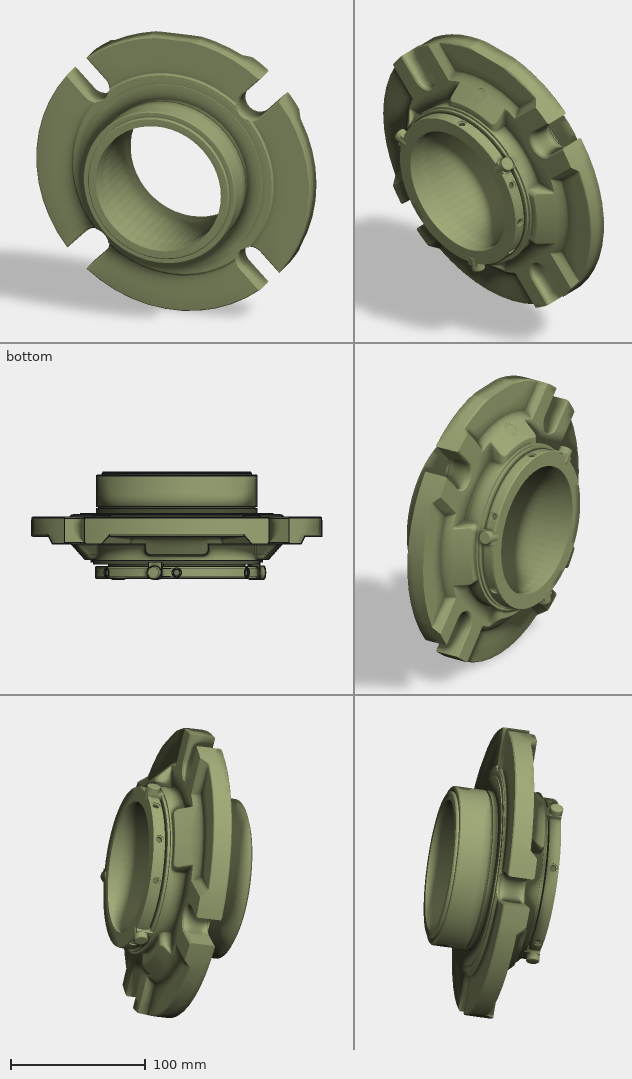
import cadquery as cq
import math


flange_radius = 107.8
flat_height = 106.0
rim_back = 14.5
rim_chamfer = 0.9
pad_back = 20.0
pad_half_width = 25.9
root_fillet = 1.3
diagonals = (45, 135, 225, 315)

slot_width = 21.0
slot_center_radius = 86.0
slot_chamfer = 1.0

outer_ring_radius = 78.0
outer_ring_bevel = 1.5
outer_ring_height = 1.3
middle_ring_radius = 76.5
middle_ring_height = 1.7
inner_ring_radius = 143.0 / 2
inner_ring_height = 2.4

bore_radius = 49.2
sleeve_radius = 59.7
sleeve_front = -31.0
sleeve_chamfer = 0.6
nose_radius = 111.0 / 2
nose_front = -33.2
nose_chamfer = 0.9
groove_front = -7.8
groove_back = -6.0
groove_radius = 58.2
neck_radius = 101.5 / 2

gland_radius = 62.8
ring_radius = 63.6
ring_front = 32.3
gland_back = 33.5
lip_radius = 61.7
lip_back = 35.2
pocket_fillet = 1.3
cone_base_radius = 83.9
block_back = 31.7
cone_top_radius = 68.1
block_half_width = 23.5
cone_edge_fillet = 1.0
block_edge_radius = 3.9
low_block_back = 28.3
port_radius = 5.5
port_height = 22.6
port_depth = 0.5

collar_radius = 60.4
collar_front = 36.9
collar_back = 45.7
collar_edge_length = 1.5
collar_edge_drop = 0.5
screw_height = 41.5
screw_angles = (30, 90, 150, 180, 210, 270, 330)
screw_hole_radius = 3.5
screw_hole_depth = 1.0
socket_radius = 5.0 / 2
socket_depth = 3.2

clip_angles = (15, 135, 255)
clip_width = 10.0
clip_inner_radius = 56.0
clip_outer_radius = 62.5
clip_head_radius = 5.0
clip_head_end = 67.3
clip_head_edge = 0.9


match_tolerance = 0.02


def matches(value, target):
    return abs(value - target) < match_tolerance


def turned(points):
    """Solid of revolution about Y from (radius, y) points."""
    return cq.Workplane("XY").polyline(points).close().revolve(360, (0, 0), (0, 1))


def cylinder(radius, y_start, y_end):
    return turned([(0, y_start), (radius, y_start), (radius, y_end), (0, y_end)])


def placed(solid, angle):
    """Turn a solid built along +X about Y, from +X towards +Z."""
    return solid.rotate((0, 0, 0), (0, 1, 0), -angle)


def radial_pin(radius, height, start, end):
    return cq.Workplane("YZ", origin=(start, height, 0)).circle(radius).extrude(end - start)


def flat_cut():
    size = 2 * flange_radius
    return cq.Workplane("XY").box(size, size, size).translate((0, 0, flat_height + size / 2))


def flange_pad():
    """Thick bar under the bolt head, with sides sloping at 45 degrees down to the rim."""
    foot_half_width = pad_half_width + pad_back - rim_back
    half = [(0, foot_half_width), (rim_back, foot_half_width), (pad_back, pad_half_width)]
    mirrored = [(y, -width) for y, width in reversed(half)]
    return cq.Workplane("YZ").polyline(half + mirrored).close().extrude(flange_radius)


def flange():
    """Rim, pads and the foot of the gland cone, blended where they meet."""
    chamfered_front = [(0, 0), (flange_radius - rim_chamfer, 0), (flange_radius, rim_chamfer)]
    rim = turned(chamfered_front + [(flange_radius, rim_back), (0, rim_back)])
    outline = turned(chamfered_front + [(flange_radius, pad_back), (0, pad_back)])
    pads = placed(flange_pad(), diagonals[0])
    for angle in diagonals[1:]:
        pads = pads.union(placed(flange_pad(), angle))
    skirt = gland_cone().intersect(cylinder(cone_base_radius, rim_back, pad_back))
    raised = rim.union(pads.intersect(outline)).union(skirt)
    roots = []
    for edge in raised.edges().vals():
        center = edge.Center()
        between_levels = rim_back - match_tolerance < center.y < pad_back - match_tolerance
        if between_levels and math.hypot(center.x, center.z) < flange_radius - 2 * root_fillet:
            roots.append(edge)
    return raised.newObject(roots).fillet(root_fillet).cut(flat_cut())


def slot_shape(half_width, y_start, y_end):
    """Round-ended slot, open at the rim."""
    tail = flange_radius + slot_width - slot_center_radius
    bar = cq.Workplane("XY").box(tail, y_end - y_start, 2 * half_width, centered=(False, False, True))
    return bar.translate((slot_center_radius, y_start, 0)).union(
        cylinder(half_width, y_start, y_end).translate((slot_center_radius, 0, 0))
    )


def bolt_slot():
    """Slot through the flange, with chamfered edges on both faces of the pad."""
    half_width = slot_width / 2
    slot = slot_shape(half_width, -outer_ring_height - inner_ring_height, pad_back)
    front_edge = slot_shape(half_width + slot_chamfer, -slot_chamfer, slot_chamfer)
    back_edge = slot_shape(half_width + slot_chamfer, pad_back - slot_chamfer, pad_back + slot_chamfer)
    front_edge = front_edge.faces(">Y").chamfer(slot_chamfer)
    back_edge = back_edge.faces("<Y").chamfer(slot_chamfer)
    return slot.union(front_edge).union(back_edge)


def front_rings():
    return turned([
        (0, 0),
        (outer_ring_radius + outer_ring_bevel, 0),
        (outer_ring_radius, -outer_ring_height),
        (middle_ring_radius, -outer_ring_height),
        (middle_ring_radius, -middle_ring_height),
        (inner_ring_radius, -middle_ring_height),
        (inner_ring_radius, -inner_ring_height),
        (0, -inner_ring_height),
    ])


def sleeve():
    return turned([
        (0, nose_front),
        (nose_radius - nose_chamfer, nose_front),
        (nose_radius, nose_front + nose_chamfer),
        (nose_radius, sleeve_front),
        (sleeve_radius - sleeve_chamfer, sleeve_front),
        (sleeve_radius, sleeve_front + sleeve_chamfer),
        (sleeve_radius, groove_front),
        (groove_radius, groove_front),
        (groove_radius, groove_back),
        (sleeve_radius, groove_back),
        (sleeve_radius, 0),
        (neck_radius, 0),
        (neck_radius, collar_back),
        (0, collar_back),
    ])


def gland_block(angle, back):
    """Arm with rounded back edges; the cone trims its outer end."""
    arm = cq.Workplane("XY").box(
        flange_radius, back, 2 * block_half_width, centered=(False, False, True)
    )
    arm = arm.edges("|X and >Y").fillet(block_edge_radius)
    return placed(arm, angle)


def gland_cone():
    return turned([
        (0, rim_back),
        (cone_base_radius, rim_back),
        (cone_top_radius, block_back),
        (0, block_back),
    ])


def gland():
    blocks = gland_block(0, block_back)
    for angle, back in ((90, block_back), (180, block_back), (270, low_block_back)):
        blocks = blocks.union(gland_block(angle, back))
    blocks = gland_cone().intersect(blocks)
    blocks = blocks.faces("%CONE").edges().fillet(cone_edge_fillet)
    body = turned([
        (0, 0),
        (gland_radius, 0),
        (gland_radius, ring_front),
        (ring_radius, ring_front),
        (ring_radius, gland_back),
        (lip_radius, gland_back),
        (lip_radius, lip_back),
        (0, lip_back),
    ])
    return body.union(blocks)


def round_pockets(body):
    """Fillet the floor and the upright corners of the pockets between the gland blocks."""
    corner_reach = math.sqrt(gland_radius**2 - block_half_width**2)
    corners = []
    for edge in body.edges().vals():
        center = edge.Center()
        sides = sorted((abs(center.x), abs(center.z)))
        beside_block = matches(sides[0], block_half_width)
        upright = beside_block and matches(sides[1], corner_reach) and center.y > pad_back
        on_floor = matches(center.y, pad_back)
        block_foot = on_floor and beside_block and edge.geomType() == "LINE"
        wall_foot = on_floor and edge.geomType() == "CIRCLE" and matches(edge.radius(), gland_radius)
        if upright or block_foot or wall_foot:
            corners.append(edge)
    return body.newObject(corners).fillet(pocket_fillet)


def flush_port():
    """Shallow round recess square to the cone, on the +Z block."""
    slope = (cone_base_radius - cone_top_radius) / (block_back - rim_back)
    surface_radius = cone_base_radius - slope * (port_height - rim_back)
    outward = cq.Vector(0, slope, 1).normalized()
    floor = cq.Vector(0, port_height, surface_radius) - outward * port_depth
    plane = cq.Plane(origin=floor.toTuple(), xDir=(1, 0, 0), normal=outward.toTuple())
    return cq.Workplane(plane).circle(port_radius).extrude(port_radius)


def collar():
    edge_radius = collar_radius - collar_edge_drop
    return turned([
        (0, collar_front),
        (edge_radius, collar_front),
        (collar_radius, collar_front + collar_edge_length),
        (collar_radius, collar_back - collar_edge_length),
        (edge_radius, collar_back),
        (0, collar_back),
    ])


def set_screw():
    """Sunk screw: a wide mouth with a narrower socket below it."""
    mouth_floor = collar_radius - screw_hole_depth
    socket_floor = collar_radius - socket_depth
    mouth = radial_pin(screw_hole_radius, screw_height, mouth_floor, collar_radius + screw_hole_depth)
    return mouth.union(radial_pin(socket_radius, screw_height, socket_floor, mouth_floor))


def clip():
    """Block bridging gland and collar, held by a round-headed screw."""
    block = cq.Workplane("XY").box(
        clip_outer_radius - clip_inner_radius,
        collar_back - gland_back,
        clip_width,
        centered=(False, False, True),
    ).translate((clip_inner_radius, gland_back, 0))
    head = radial_pin(clip_head_radius, screw_height, clip_inner_radius, clip_head_end)
    return block.union(head.faces(">X").edges().fillet(clip_head_edge))


result = round_pockets(flange().union(front_rings()).union(gland()))
for slot_angle in diagonals:
    result = result.cut(placed(bolt_slot(), slot_angle))
result = result.cut(flush_port())
result = result.union(sleeve()).union(collar())
for screw_angle in screw_angles:
    result = result.cut(placed(set_screw(), screw_angle))
for clip_angle in clip_angles:
    result = result.union(placed(clip(), clip_angle))
result = result.cut(cylinder(bore_radius, nose_front, collar_back))